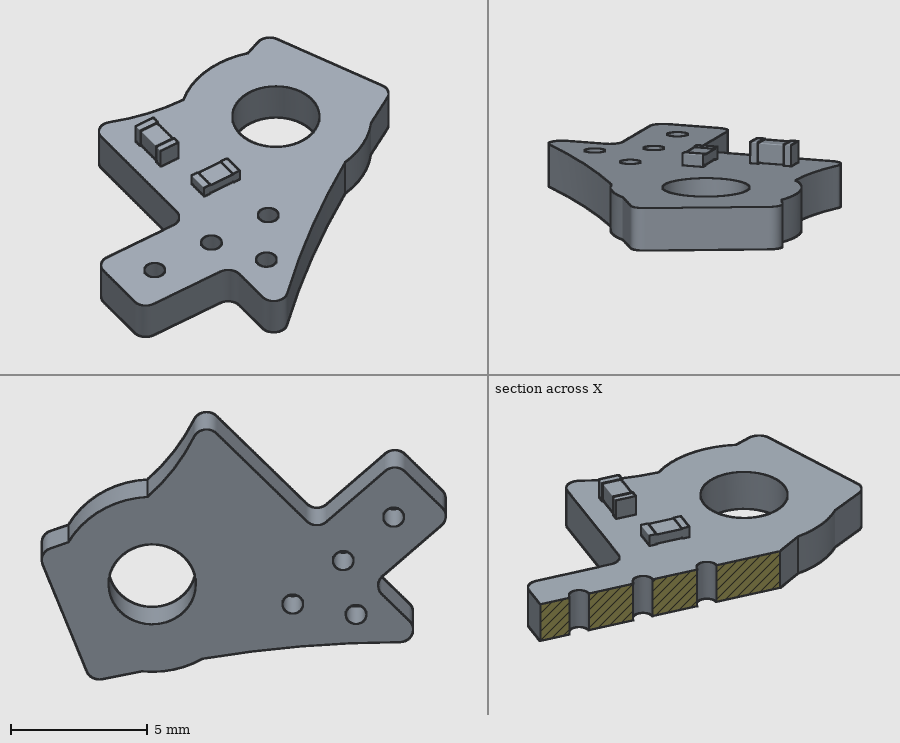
import cadquery as cq
import math

board_thickness = 1.6
corner_radius = 0.5

bore_diameter = 3.2
lobe_radius = 3.51

pin_hole_diameter = 0.76
pin_column_x = 4.11
pin_top_y = -3.22
pin_pitch = 2.54
pin_count = 3
side_hole = (6.01, -4.62)

base_y = -5.87
base_left_x = -3.58
base_right_x = 8.73
tab_left_x = 2.55
tab_width = 3.0
tab_length = 3.99
tab_right_x = tab_left_x + tab_width
tab_bottom_y = base_y - tab_length

upper_left_corner = (-3.8, 2.19)
upper_right_corner = (1.29, 4.31)
shoulder_upper_left_y = 1.08
shoulder_upper_right_y = 2.67
shoulder_lower_left_y = -2.27
shoulder_lower_right_y = 0.7
left_flank_radius = 7.79
right_flank_radius = 40.72

chip_lift = 0.05
chip_length = 1.6
chip_width = 0.8
terminal_length = 0.3
edge_radius = 0.03
chip_base_z = board_thickness + chip_lift

capacitor_height = 0.8
capacitor_center = (-1.0, -4.62)
capacitor_inset = 0.03

resistor_height = 0.45
resistor_center = (1.61, -3.82)
resistor_inset = 0.03


def on_lobe(y, side):
    """Point of the lobe circle at height y; side is -1 for left, +1 for right."""
    return (side * math.sqrt(lobe_radius**2 - y**2), y)


def make_board():
    upper_left = on_lobe(shoulder_upper_left_y, -1)
    lower_left = on_lobe(shoulder_lower_left_y, -1)
    upper_right = on_lobe(shoulder_upper_right_y, 1)
    lower_right = on_lobe(shoulder_lower_right_y, 1)
    base_left = (base_left_x, base_y)
    base_right = (base_right_x, base_y)
    tab_corners = [
        (tab_right_x, base_y),
        (tab_right_x, tab_bottom_y),
        (tab_left_x, tab_bottom_y),
        (tab_left_x, base_y),
    ]

    board = (
        cq.Workplane("XY")
        .moveTo(*upper_left_corner)
        .lineTo(*upper_right_corner)
        .lineTo(*upper_right)
        .radiusArc(lower_right, lobe_radius)
        .radiusArc(base_right, -right_flank_radius)
    )
    for corner in tab_corners:
        board = board.lineTo(*corner)
    board = (
        board.lineTo(*base_left)
        .radiusArc(lower_left, -left_flank_radius)
        .radiusArc(upper_left, lobe_radius)
        .close()
        .extrude(board_thickness)
    )

    rounded = [upper_left_corner, upper_right_corner, base_left, base_right] + tab_corners
    for x, y in rounded:
        corner_edge = cq.selectors.NearestToPointSelector((x, y, board_thickness / 2))
        board = board.edges("|Z").edges(corner_edge).fillet(corner_radius)

    pin_holes = [(pin_column_x, pin_top_y - i * pin_pitch) for i in range(pin_count)]
    top = board.faces(">Z").workplane(origin=(0, 0, board_thickness))
    board = top.hole(bore_diameter)
    top = board.faces(">Z").workplane(origin=(0, 0, board_thickness))
    return top.pushPoints(pin_holes + [side_hole]).hole(pin_hole_diameter)


def block(length, width, height, base_z):
    """Box centred on the Z axis, standing on the height base_z."""
    return cq.Workplane("XY", origin=(0, 0, base_z)).box(
        length, width, height, centered=(True, True, False)
    )


def make_capacitor():
    """Ceramic body between two larger end caps, lengthwise along X."""
    core_length = chip_length - 2 * terminal_length
    capacitor = block(
        core_length,
        chip_width - 2 * capacitor_inset,
        capacitor_height - 2 * capacitor_inset,
        chip_base_z + capacitor_inset,
    ).edges("|X").fillet(edge_radius)

    terminal_offset = (chip_length - terminal_length) / 2
    terminal = block(terminal_length, chip_width, capacitor_height, chip_base_z)
    terminal = terminal.edges("|X").fillet(edge_radius)
    for side in (-1, 1):
        capacitor = capacitor.union(terminal.translate((side * terminal_offset, 0, 0)))
    return capacitor.translate((*capacitor_center, 0))


def make_resistor():
    """Flat body between two full-width terminals, lengthwise along Y."""
    resistor = block(
        chip_width,
        chip_length - 2 * terminal_length,
        resistor_height - 2 * resistor_inset,
        chip_base_z + resistor_inset,
    )

    terminal_offset = (chip_length - terminal_length) / 2
    terminal = block(chip_width, terminal_length, resistor_height, chip_base_z)
    terminal = terminal.edges("|X").fillet(edge_radius)
    for side in (-1, 1):
        resistor = resistor.union(terminal.translate((0, side * terminal_offset, 0)))
    return resistor.translate((*resistor_center, 0))


board = make_board()
capacitor = make_capacitor()
resistor = make_resistor()

result = cq.Compound.makeCompound([board.val(), capacitor.val(), resistor.val()])